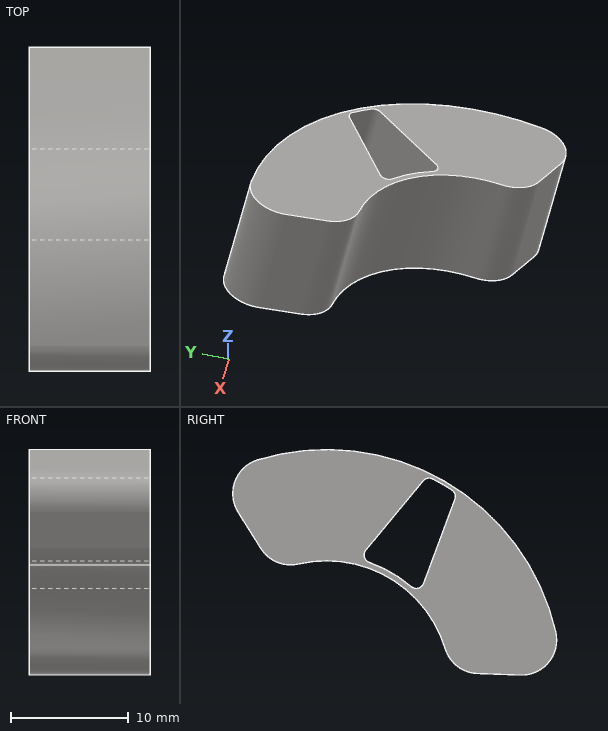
import cadquery as cq
import math

width = 10.3
outer_radius = 20.0
inner_radius = 10.52
end_corner_radius = 3.0

wedge_apex_offset = 1.6
wedge_half_angle = 62.1
wedge_length = 2 * outer_radius

outer_wall = 0.33
inner_wall = 0.5
pocket_apex_offset = 28.25
pocket_half_angle = 9.6
pocket_length = pocket_apex_offset
pocket_corner_radius = 0.65

centre_line_angle = 60


def ring(outer, inner):
    return cq.Workplane("YZ").circle(outer).circle(inner).extrude(width / 2, both=True)


def wedge(apex, length, half_angle):
    """Triangular prism on the Y axis; a negative length opens it towards -Y."""
    base = apex + length
    half_base = abs(length) * math.tan(math.radians(half_angle))
    points = [(apex, 0), (base, half_base), (base, -half_base)]
    return cq.Workplane("YZ").polyline(points).close().extrude(width / 2, both=True)


def ring_sector(outer, inner, sector_wedge, corner_radius):
    """Part of a ring inside a wedge, with its four corners rounded."""
    return ring(outer, inner).intersect(sector_wedge).edges("|X").fillet(corner_radius)


body = ring_sector(
    outer_radius,
    inner_radius,
    wedge(wedge_apex_offset, wedge_length, wedge_half_angle),
    end_corner_radius,
)

pocket = ring_sector(
    outer_radius - outer_wall,
    inner_radius + inner_wall,
    wedge(pocket_apex_offset, -pocket_length, pocket_half_angle),
    pocket_corner_radius,
)

result = body.cut(pocket).rotate((0, 0, 0), (1, 0, 0), centre_line_angle)